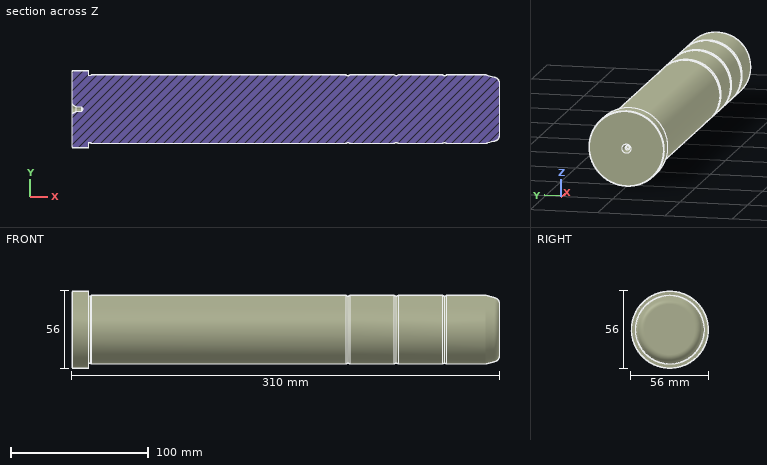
import cadquery as cq
import math

length = 310.0
head_diameter = 56.0
head_length = 12.0
head_chamfer = 0.5
shaft_diameter = 50.0

relief_width = 2.0
relief_depth = 0.5

groove_width = 3.0
groove_depth = 0.8
first_groove_x = 200.0
groove_pitch = 35.0
groove_count = 3

lead_length = 10.0
lead_angle = 15.0
nose_radius = 5.0

centre_mouth_diameter = 6.7
centre_drill_diameter = 3.15
centre_cone_angle = 60.0
centre_depth = 7.0
centre_point_angle = 118.0

head_radius = head_diameter / 2
shaft_radius = shaft_diameter / 2


def pin_body():
    """Chamfered head, relief groove, shaft and tapered lead-in as one revolved outline."""
    relief_radius = shaft_radius - relief_depth
    relief_end = head_length + relief_width
    tip_radius = shaft_radius - lead_length * math.tan(math.radians(lead_angle))
    outline = (
        cq.Workplane("XZ")
        .moveTo(0, 0)
        .lineTo(0, head_radius - head_chamfer)
        .lineTo(head_chamfer, head_radius)
        .lineTo(head_length, head_radius)
        .lineTo(head_length, relief_radius)
        .lineTo(relief_end - relief_depth, relief_radius)
        .lineTo(relief_end, shaft_radius)
        .lineTo(length - lead_length, shaft_radius)
        .lineTo(length, tip_radius)
        .lineTo(length, 0)
        .close()
    )
    body = outline.revolve(360, (0, 0, 0), (1, 0, 0))
    return body.faces(">X").edges().fillet(nose_radius)


def lubrication_groove(centre_x):
    """Ring with a V section, open at the shaft surface."""
    half_width = groove_width / 2
    return (
        cq.Workplane("XZ")
        .moveTo(centre_x - half_width, shaft_radius)
        .lineTo(centre_x, shaft_radius - groove_depth)
        .lineTo(centre_x + half_width, shaft_radius)
        .close()
        .revolve(360, (0, 0, 0), (1, 0, 0))
    )


def cone_height(radius_change, included_angle):
    """Height over which a cone of the given included angle changes its radius."""
    return radius_change / math.tan(math.radians(included_angle / 2))


def centre_hole():
    """Hole along +X on the pin axis: conical mouth, straight pilot and drill point."""
    mouth_radius = centre_mouth_diameter / 2
    drill_radius = centre_drill_diameter / 2
    cone_depth = cone_height(mouth_radius - drill_radius, centre_cone_angle)
    point_depth = centre_depth + cone_height(drill_radius, centre_point_angle)
    return (
        cq.Workplane("XZ")
        .moveTo(0, 0)
        .lineTo(0, mouth_radius)
        .lineTo(cone_depth, drill_radius)
        .lineTo(centre_depth, drill_radius)
        .lineTo(point_depth, 0)
        .close()
        .revolve(360, (0, 0, 0), (1, 0, 0))
    )


result = pin_body()
for index in range(groove_count):
    result = result.cut(lubrication_groove(first_groove_x + index * groove_pitch))
result = result.cut(centre_hole())